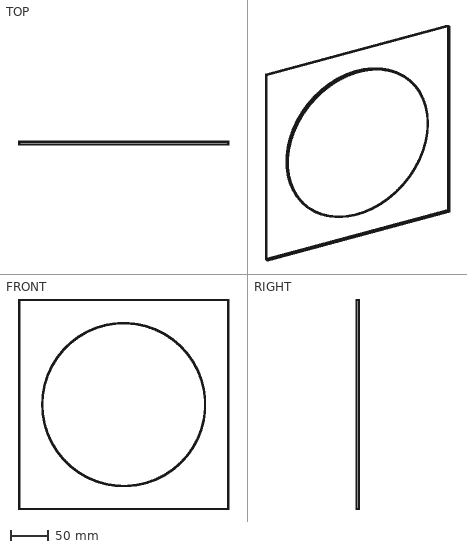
import cadquery as cq

side = 282.0
thickness = 4.0
hole_diameter = 219.5

plate = cq.Workplane("XY").box(side, thickness, side)

result = plate.faces("<Y").workplane(centerOption="CenterOfBoundBox").hole(hole_diameter)